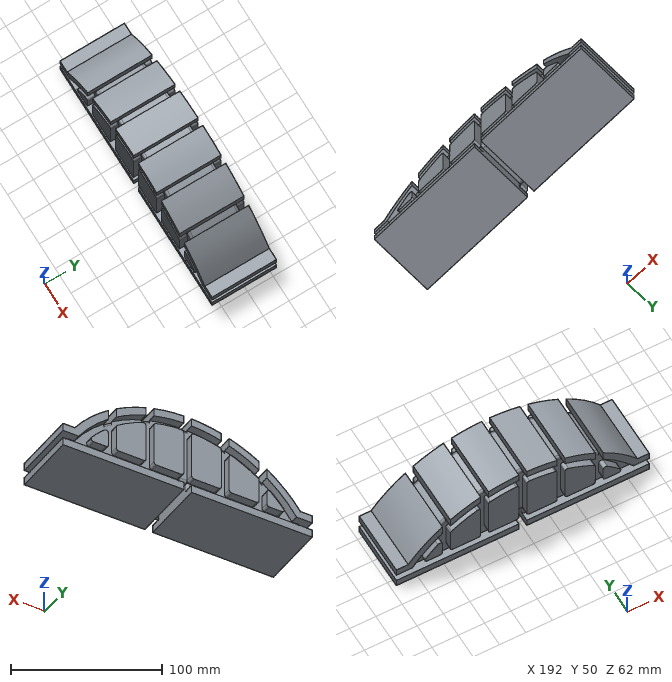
import cadquery as cq
import math

length = 192.0
width = 50.0
height = 62.0
wall = 6.0
slot_width = 6.0
slot_pitch = 29.0
outer_radius = 108.0
edge_radius = 2.0

arch_base = 2 * wall
arch_center = height - outer_radius
core_radius = outer_radius - wall
pad_radius = core_radius - wall
core_width = width - 2 * wall
core_end = length / 2 - wall
half_slot = slot_width / 2
slot_centers = [i * slot_pitch for i in range(-2, 3)]


def half_chord(radius, z):
    """Half the width of the arch circle of the given radius at height z."""
    return math.sqrt(radius**2 - (z - arch_center) ** 2)


def block(x_min, x_max, z_min, z_max, y_size):
    """Box centred on Y between the given X and Z limits."""
    return (
        cq.Workplane("XY")
        .box(x_max - x_min, y_size, z_max - z_min, centered=(False, True, False))
        .translate((x_min, 0, z_min))
    )


def arch_segment(radius, y_size):
    """Circular segment standing on the arch base, centred on Y."""
    reach = half_chord(radius, arch_base)
    return (
        cq.Workplane("XZ")
        .moveTo(-reach, arch_base)
        .threePointArc((0, arch_center + radius), (reach, arch_base))
        .close()
        .extrude(y_size / 2, both=True)
    )


def slot_block(x):
    """Cutter for one slot, centred at x, through the full height and width."""
    return block(x - half_slot, x + half_slot, 0, height, width)


def make_shell():
    """Arched shell with an end flange on each side, cut across by the slots."""
    flanges = block(-length / 2, length / 2, arch_base, arch_base + wall, width)
    shell = arch_segment(outer_radius, width).union(flanges)
    shell = shell.cut(arch_segment(core_radius, width))
    for x in slot_centers:
        shell = shell.cut(slot_block(x))
    return shell


def make_pads():
    """Pads between the slots, running through the full width, with rounded corners."""
    pads = arch_segment(pad_radius, width)
    for x in slot_centers:
        pads = pads.cut(slot_block(x))
    return pads.edges("|Y").fillet(edge_radius)


def make_base():
    """Two base plates, each with a rounded core foot above it, parted by the middle slot."""
    plate = block(half_slot, length / 2, 0, wall, width)
    foot = block(half_slot, core_end, wall, arch_base, core_width)
    half = plate.union(foot.edges("|Z").fillet(edge_radius))
    return half.union(half.mirror("YZ"))


def make_core():
    """Arched core whose long edges are rounded where the slots expose them."""
    core = arch_segment(core_radius, core_width)
    for x in slot_centers:
        slot = slot_block(x)
        rounded = core.intersect(slot).edges("%CIRCLE").fillet(edge_radius)
        if x == 0:
            rounded = rounded.faces("<Z").edges("|X").fillet(edge_radius)
        core = core.cut(slot).union(rounded)
    return core


result = make_core().union(make_shell()).union(make_pads()).union(make_base())